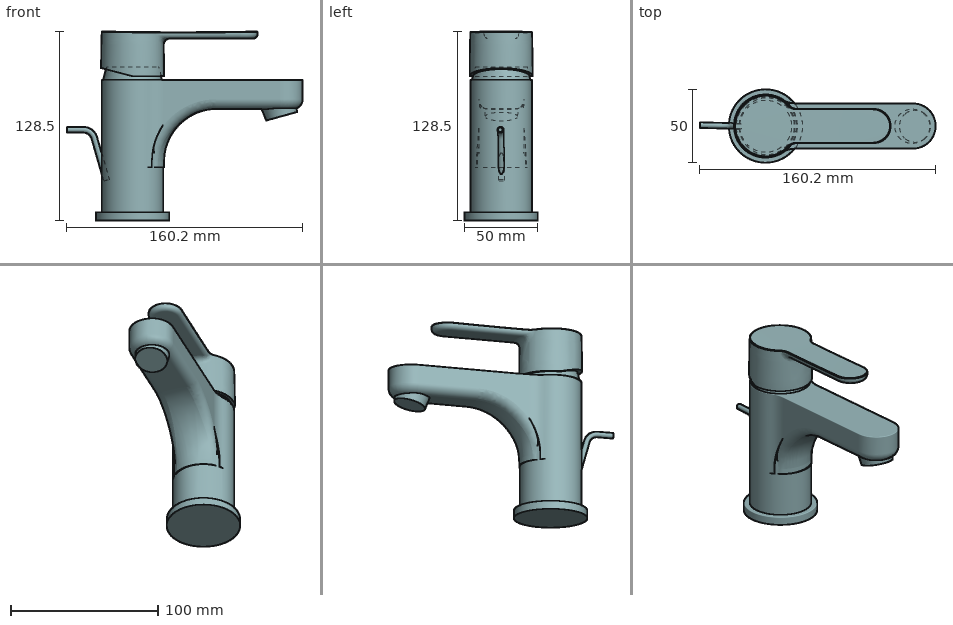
import cadquery as cq
import math


flange_radius = 25.0
flange_height = 5.8

column_radius = 21.0
body_top = 95.5
top_edge_round = 0.5

spout_half_width = 15.4
spout_reach = 115.5
spout_bottom = 75.8
spout_edge_round = 6.5
underside_radius = 35.7
underside_gap = 0.5
spout_foot = 36.2
web_relief_radius = 44.0
side_blend_radius = 19.9

nozzle_x = 101.3
nozzle_z = 70.8
nozzle_tilt = 15.5
nozzle_outlet_radius = 10.9
nozzle_taper = 7
nozzle_length = 9.6

neck_base_radius = 20.0
neck_shoulder_radius = 18.6
neck_shoulder_height = 5.8
neck_top_radius = 17.6
neck_height = 9.0

handle_top = 128.5
handle_bottom = 98.1
handle_top_radius = 21.0
handle_bottom_radius = 21.5
handle_rim = 1.6
handle_cut_angle = 14.5
lever_half_width = 11.7
lever_reach = 85.0
lever_thickness = 5.0
lever_edge_round = 3.2
lever_blend_radius = 8
lever_root_round = 4.0
top_dish_depth = 0.5

rod_radius = 2.0
rod_end_x = -44.7
rod_z = 61.7
rod_bend_start_x = -33.3
rod_bend_radius = 7.7
rod_bend_angle = 74
rod_leg_length = 29.7
rod_end_chamfer = 0.5
rod_swivel = 1.5


def blend_ends(circle_radius, half_width, blend_radius):
    """Tangent points of the concave arc between a circle at the origin and the line y = half_width."""
    center_y = half_width + blend_radius
    center_x = math.sqrt((circle_radius + blend_radius) ** 2 - center_y**2)
    share = circle_radius / (circle_radius + blend_radius)
    return (center_x * share, center_y * share), (center_x, half_width)


def tongue(half_width, reach, bottom, top):
    """Flat bar from the Z axis along +X with a full round end."""
    straight = reach - half_width
    return (
        cq.Workplane("XY", origin=(0, 0, bottom))
        .moveTo(0, -half_width)
        .lineTo(straight, -half_width)
        .threePointArc((reach, 0), (straight, half_width))
        .lineTo(0, half_width)
        .close()
        .extrude(top - bottom)
    )


def side_blends(circle_radius, half_width, blend_radius, bottom, top):
    """Web that flows from the round body into both sides of a tongue."""
    start, end = blend_ends(circle_radius, half_width, blend_radius)
    return (
        cq.Workplane("XY", origin=(0, 0, bottom))
        .moveTo(0, -start[1])
        .lineTo(start[0], -start[1])
        .radiusArc((end[0], -end[1]), blend_radius)
        .lineTo(*end)
        .radiusArc(start, blend_radius)
        .lineTo(0, start[1])
        .close()
        .extrude(top - bottom)
    )


def make_flange():
    disc = cq.Workplane("XY").circle(flange_radius).extrude(flange_height)
    return disc.faces(">Z").edges().fillet(top_edge_round)


def under_spout_outline(radius):
    """Outline of the space below the spout: upright at the column, a quarter round, then level."""
    center_x = column_radius + underside_gap + underside_radius
    center_z = spout_bottom - underside_radius
    far_x = spout_reach + radius
    return (
        cq.Workplane("XZ")
        .moveTo(center_x - radius, 0)
        .lineTo(center_x - radius, center_z)
        .radiusArc((center_x, center_z + radius), radius)
        .lineTo(far_x, center_z + radius)
        .lineTo(far_x, 0)
        .close()
    )


def make_spout():
    bar = tongue(spout_half_width, spout_reach, spout_foot, body_top)
    bar = bar.cut(under_spout_outline(underside_radius).revolve(360, (0, 0), (0, 1)))
    lower_edges = cq.selectors.BoxSelector(
        (column_radius, -spout_half_width - 1.6, spout_foot + 0.2),
        (spout_reach + 1.6, spout_half_width + 1.6, spout_bottom + 0.8),
    )
    bar = bar.edges(lower_edges).fillet(spout_edge_round)
    webs = side_blends(column_radius, spout_half_width, side_blend_radius, spout_foot, body_top)
    webs = webs.cut(under_spout_outline(web_relief_radius).extrude(2 * column_radius, both=True))
    return bar.union(webs)


def make_nozzle():
    outlet = cq.Workplane("XY").circle(nozzle_outlet_radius).extrude(nozzle_length, taper=-nozzle_taper)
    tilted = outlet.rotate((0, 0, 0), (0, 1, 0), -nozzle_tilt)
    return tilted.translate((nozzle_x, 0, nozzle_z))


def make_body():
    column = cq.Workplane("XY", origin=(0, 0, flange_height)).circle(column_radius)
    column = column.extrude(body_top - flange_height)
    body = column.union(make_spout())
    body = body.faces(">Z").edges().fillet(top_edge_round)
    return body.union(make_nozzle())


def make_neck():
    return (
        cq.Workplane("XZ")
        .moveTo(0, body_top)
        .lineTo(neck_base_radius, body_top)
        .lineTo(neck_shoulder_radius, body_top + neck_shoulder_height)
        .lineTo(neck_top_radius, body_top + neck_height)
        .lineTo(0, body_top + neck_height)
        .close()
        .revolve(360, (0, 0), (0, 1))
    )


def top_dish():
    """Very shallow cylinder across the handle that makes its top slightly concave along X."""
    half_chord = (lever_reach + handle_top_radius) / 2
    middle_x = (lever_reach - handle_top_radius) / 2
    return (
        cq.Workplane("XZ")
        .moveTo(middle_x - half_chord, handle_top)
        .threePointArc((middle_x, handle_top - top_dish_depth), (middle_x + half_chord, handle_top))
        .close()
        .extrude(2 * handle_bottom_radius, both=True)
    )


def make_handle():
    barrel = (
        cq.Workplane("XZ")
        .moveTo(0, handle_bottom)
        .lineTo(handle_bottom_radius, handle_bottom)
        .line(0, handle_rim)
        .tangentArcPoint((handle_top_radius, handle_top), relative=False)
        .lineTo(0, handle_top)
        .close()
        .revolve(360, (0, 0), (0, 1))
    )
    cut_reach = 2 * handle_bottom_radius
    back_relief = (
        cq.Workplane("XZ")
        .moveTo(0, handle_bottom)
        .lineTo(-cut_reach, handle_bottom)
        .lineTo(-cut_reach, handle_bottom + cut_reach * math.tan(math.radians(handle_cut_angle)))
        .close()
        .extrude(cut_reach, both=True)
    )
    lever_bottom = handle_top - lever_thickness
    lever = tongue(lever_half_width, lever_reach, lever_bottom, handle_top)
    lever = lever.union(
        side_blends(handle_top_radius, lever_half_width, lever_blend_radius, lever_bottom, handle_top)
    )
    rim = cq.selectors.BoxSelector((handle_top_radius - 4.8, -32, lever_bottom - 0.2), (96.2, 32, lever_bottom + 0.2))
    lever = lever.faces("<Z").edges(rim).fillet(lever_edge_round)
    handle = barrel.cut(back_relief).union(lever)
    root = cq.selectors.BoxSelector(
        (0, -column_radius, lever_bottom - 0.2),
        (handle_bottom_radius, column_radius, lever_bottom + lever_edge_round),
    )
    handle = handle.edges(root).edges("%BSPLINE").fillet(lever_root_round)
    handle = handle.cut(top_dish())
    return handle.faces(">Z").edges().chamfer(top_edge_round)


def make_rod():
    angle = math.radians(rod_bend_angle)

    def on_bend(turn):
        return (
            rod_bend_start_x + rod_bend_radius * math.sin(turn),
            rod_z - rod_bend_radius * (1 - math.cos(turn)),
        )

    bend_end = on_bend(angle)
    leg_end = (
        bend_end[0] + rod_leg_length * math.cos(angle),
        bend_end[1] - rod_leg_length * math.sin(angle),
    )
    path = (
        cq.Workplane("XZ")
        .moveTo(rod_end_x, rod_z)
        .lineTo(rod_bend_start_x, rod_z)
        .threePointArc(on_bend(angle / 2), bend_end)
        .lineTo(*leg_end)
    )
    rod = cq.Workplane("YZ", origin=(rod_end_x, 0, rod_z)).circle(rod_radius).sweep(path)
    rod = rod.faces("<X").chamfer(rod_end_chamfer)
    return rod.rotate((-column_radius, 0, 0), (-column_radius, 0, 1), -rod_swivel)


flange = make_flange()
neck = make_neck()
rod = make_rod()
body = make_body().cut(rod)
handle = make_handle().cut(neck)

result = cq.Compound.makeCompound([flange.val(), body.val(), neck.val(), handle.val(), rod.val()])